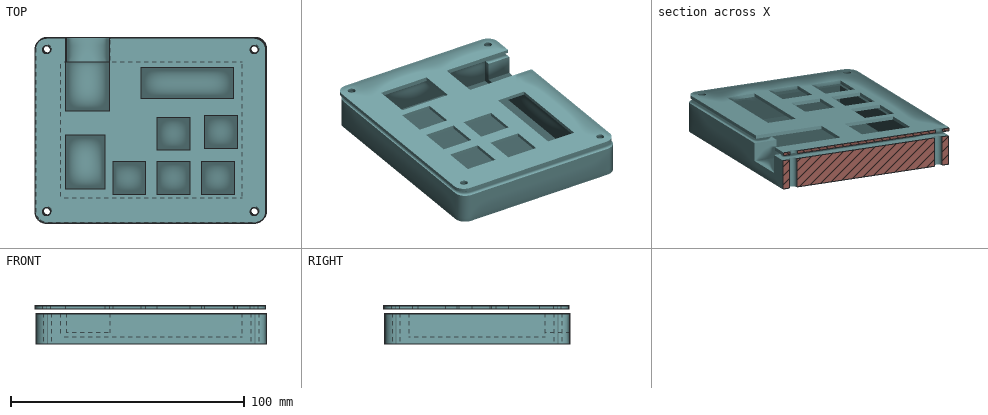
import cadquery as cq

TOTAL_LENGTH = 99.3
TOTAL_WIDTH = 79.7
PLATE_OFFSET = 0.38

LENGTH = TOTAL_LENGTH - PLATE_OFFSET
WIDTH = TOTAL_WIDTH - PLATE_OFFSET
CORNER_RADIUS = 5.0
HOLE_INSET = 5.0
HOLE_DIAMETER = 3.4

CASE_HEIGHT = 13.0
GAP = 2.0
PLATE_THICKNESS = 1.5

FLOOR_THICKNESS = 3.0
WALL_THICKNESS = 10.5

SLOT_LEFT = 13.2
SLOT_LENGTH = 18.7
SLOT_FRONT = 48.1
SLOT_SILL_HEIGHT = 5.0

DISPLAY_WINDOW = (45.5, 53.5, 39.7, 13.2)
KEYPAD_WINDOW = (SLOT_LEFT, 14.7, 16.9, 23.1)
SELECT_WINDOW = (72.7, 32.2, 14.2, 14.1)

BUTTON_SIZE = 14.0
BUTTON_PITCH = 19.1
BUTTON_LEFT = 33.4
BUTTON_FRONT = 12.4


def corner_box(left, front, length, width, height):
    """Box standing on Z = 0 with its left front corner at the given place."""
    return cq.Workplane("XY").box(length, width, height, centered=False).translate((left, front, 0))


def rounded_block(height):
    """Rounded outline of both bodies with a through hole in each corner."""
    hole_columns = (HOLE_INSET, LENGTH - HOLE_INSET)
    hole_rows = (HOLE_INSET, WIDTH - HOLE_INSET)
    hole_places = [(x, y) for x in hole_columns for y in hole_rows]
    block = corner_box(0, 0, LENGTH, WIDTH, height).edges("|Z").fillet(CORNER_RADIUS)
    holes = cq.Workplane("XY").pushPoints(hole_places).circle(HOLE_DIAMETER / 2).extrude(height)
    return block.cut(holes)


def slot_cutter(front, height):
    """Cutter for the connector slot, from its front end out through the back."""
    return corner_box(SLOT_LEFT, front, SLOT_LENGTH, WIDTH - front, height)


def button_windows():
    """Left front corner and size of each of the four equal button windows."""
    grid_places = [(0, 0), (1, 0), (2, 0), (1, 1)]
    return [
        (BUTTON_LEFT + column * BUTTON_PITCH, BUTTON_FRONT + row * BUTTON_PITCH, BUTTON_SIZE, BUTTON_SIZE)
        for column, row in grid_places
    ]


def make_case():
    """Open-topped case with a notch through its back wall."""
    cavity = corner_box(
        WALL_THICKNESS,
        WALL_THICKNESS,
        LENGTH - 2 * WALL_THICKNESS,
        WIDTH - 2 * WALL_THICKNESS,
        CASE_HEIGHT - FLOOR_THICKNESS,
    ).translate((0, 0, FLOOR_THICKNESS))
    notch = slot_cutter(WIDTH - WALL_THICKNESS, CASE_HEIGHT - SLOT_SILL_HEIGHT).translate(
        (0, 0, SLOT_SILL_HEIGHT)
    )
    return rounded_block(CASE_HEIGHT).cut(cavity).cut(notch)


def make_plate():
    """Cover plate with its windows, held above the case and shifted sideways."""
    plate = rounded_block(PLATE_THICKNESS).cut(slot_cutter(SLOT_FRONT, PLATE_THICKNESS))
    for window in [DISPLAY_WINDOW, KEYPAD_WINDOW, SELECT_WINDOW, *button_windows()]:
        plate = plate.cut(corner_box(*window, PLATE_THICKNESS))
    return plate.translate((-PLATE_OFFSET, -PLATE_OFFSET, CASE_HEIGHT + GAP))


case = make_case()
plate = make_plate()

result = cq.Compound.makeCompound([case.val(), plate.val()])